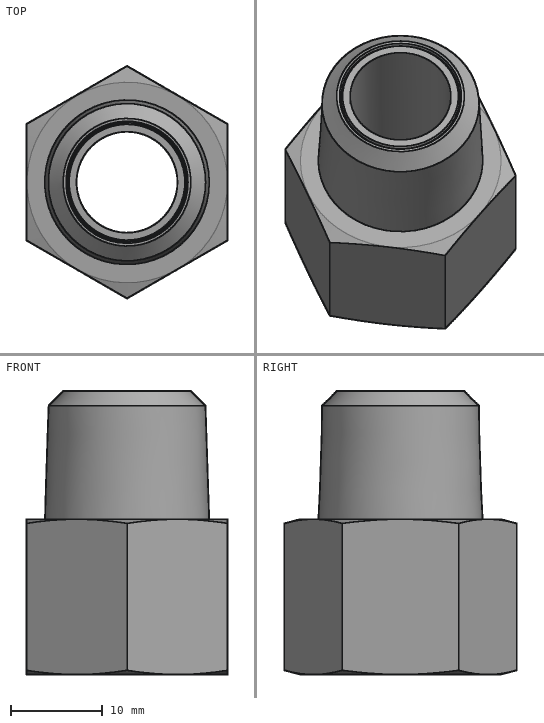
import cadquery as cq
import math

total_height = 31.0
hex_across_flats = 22.0
hex_height = 17.0
hex_chamfer_angle = 15.0
face_circle_diameter = 21.92
spigot_base_diameter = 17.98
spigot_tip_diameter = 17.17
spigot_chamfer = 1.6
bore_diameter = 11.0
groove_outer_diameter = 13.33
groove_inner_diameter = 12.65
groove_depth = 0.25

hex_across_corners = hex_across_flats / math.cos(math.radians(30))


def revolve_profile(points):
    """Revolve a closed (radius, height) outline around the Z axis."""
    return cq.Workplane("XZ").polyline(points).close().revolve(360, (0, 0), (0, 1))


def make_hexagon():
    """Hexagonal body with its corners chamfered at both ends."""
    prism = (
        cq.Workplane("XY")
        .polygon(6, hex_across_corners)
        .extrude(hex_height)
        .rotate((0, 0, 0), (0, 0, 1), 30)
    )
    face_radius = face_circle_diameter / 2
    corner_radius = hex_across_corners / 2
    drop = (corner_radius - face_radius) * math.tan(math.radians(hex_chamfer_angle))
    envelope = revolve_profile([
        (0, 0),
        (face_radius, 0),
        (corner_radius, drop),
        (corner_radius, hex_height - drop),
        (face_radius, hex_height),
        (0, hex_height),
    ])
    return prism.intersect(envelope)


def make_spigot():
    """Tapered round spigot with a 45 degree chamfer at its tip."""
    tip_radius = spigot_tip_diameter / 2
    return revolve_profile([
        (0, 0),
        (spigot_base_diameter / 2, 0),
        (spigot_base_diameter / 2, hex_height),
        (tip_radius, total_height - spigot_chamfer),
        (tip_radius - spigot_chamfer, total_height),
        (0, total_height),
    ])


def make_groove():
    """Shallow V-shaped ring cut into the end face of the spigot."""
    outer_radius = groove_outer_diameter / 2
    inner_radius = groove_inner_diameter / 2
    return revolve_profile([
        (inner_radius, total_height),
        ((inner_radius + outer_radius) / 2, total_height - groove_depth),
        (outer_radius, total_height),
    ])


bore = cq.Workplane("XY").circle(bore_diameter / 2).extrude(total_height)

result = make_hexagon().union(make_spigot()).cut(bore).cut(make_groove())